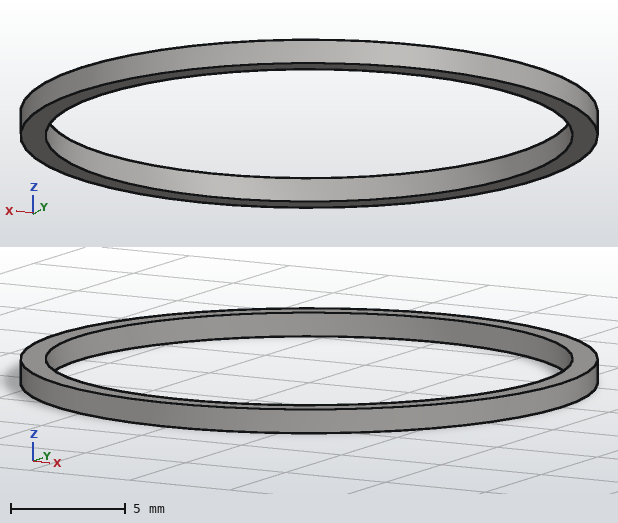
import cadquery as cq

outer_diameter = 25.2
inner_diameter = 23.0
thickness = 1.05

result = (
    cq.Workplane("XY")
    .circle(outer_diameter / 2)
    .circle(inner_diameter / 2)
    .extrude(thickness)
)